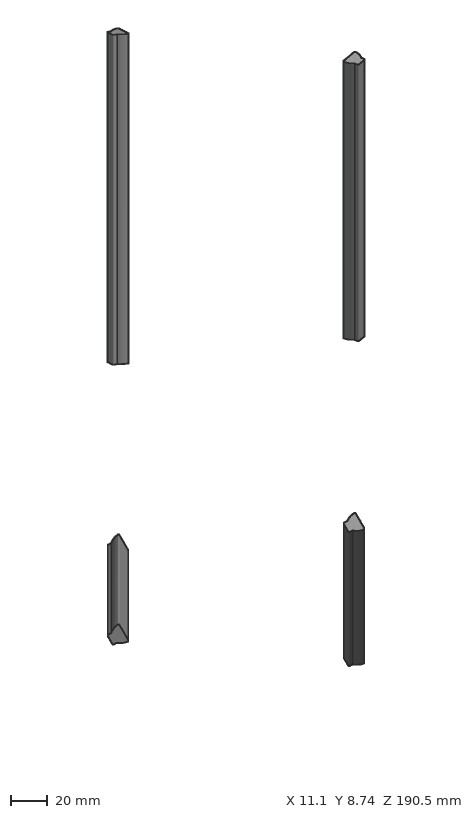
import cadquery as cq
import math

length = 190.5
head_width = 11.06
depth = 8.74
foot_width = 6.35
foot_height = 2.54
flank_radius = 9.525
corner_radius = 0.6

head_half = head_width / 2
foot_half = foot_width / 2
back_y = depth / 2
front_y = -depth / 2
shoulder_y = back_y - corner_radius
neck_y = front_y + foot_height

arc_inset = corner_radius * (1 - math.sqrt(0.5))


def bar_section():
    """Symmetric outline: flat wide back, bulging flanks, straight narrow foot, rounded outer corners."""
    back_arc_middle = (head_half - arc_inset, back_y - arc_inset)
    front_arc_middle = (foot_half - arc_inset, front_y + arc_inset)
    return (
        cq.Workplane("XY")
        .moveTo(0, back_y)
        .lineTo(head_half - corner_radius, back_y)
        .threePointArc(back_arc_middle, (head_half, shoulder_y))
        .radiusArc((foot_half, neck_y), flank_radius)
        .lineTo(foot_half, front_y + corner_radius)
        .threePointArc(front_arc_middle, (foot_half - corner_radius, front_y))
        .lineTo(0, front_y)
        .mirrorY()
    )


result = bar_section().extrude(length)